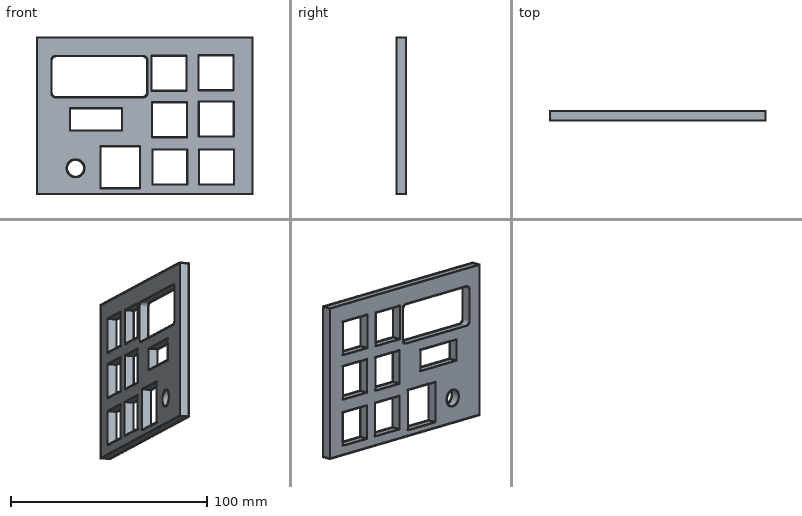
import cadquery as cq

PLATE_WIDTH = 110.0
PLATE_THICKNESS = 5.0
PLATE_HEIGHT = 80.0

KEY_SIZE = 17.7
KEY_CORNERS = [
    (59.0, 5.0), (82.7, 5.0),
    (58.7, 29.2), (82.6, 29.5),
    (58.5, 52.8), (82.5, 53.1),
]

WINDOW_CORNER = (7.5, 49.5)
WINDOW_WIDTH = 48.7
WINDOW_HEIGHT = 20.9
WINDOW_RADIUS = 2.2

SLOT_CORNER = (16.9, 32.6)
SLOT_WIDTH = 26.4
SLOT_HEIGHT = 11.2

TALL_CORNER = (32.5, 3.1)
TALL_WIDTH = 20.0
TALL_HEIGHT = 21.3

HOLE_DIAMETER = 8.8
HOLE_CENTER = (19.7, 13.2)


def block(corner, width, height):
    """Plate-thick block with its lower left corner at (x, z)."""
    x, z = corner
    return cq.Workplane("XY").box(width, PLATE_THICKNESS, height, centered=False).translate((x, 0, z))


def round_cutter(center, diameter):
    """Plate-thick cylinder along Y, centred at (x, z)."""
    return (
        cq.Workplane("XZ")
        .center(*center)
        .circle(diameter / 2)
        .extrude(-PLATE_THICKNESS)
    )


result = block((0, 0), PLATE_WIDTH, PLATE_HEIGHT)

for key_corner in KEY_CORNERS:
    result = result.cut(block(key_corner, KEY_SIZE, KEY_SIZE))

window = block(WINDOW_CORNER, WINDOW_WIDTH, WINDOW_HEIGHT).edges("|Y").fillet(WINDOW_RADIUS)
result = result.cut(window)
result = result.cut(block(SLOT_CORNER, SLOT_WIDTH, SLOT_HEIGHT))
result = result.cut(block(TALL_CORNER, TALL_WIDTH, TALL_HEIGHT))
result = result.cut(round_cutter(HOLE_CENTER, HOLE_DIAMETER))